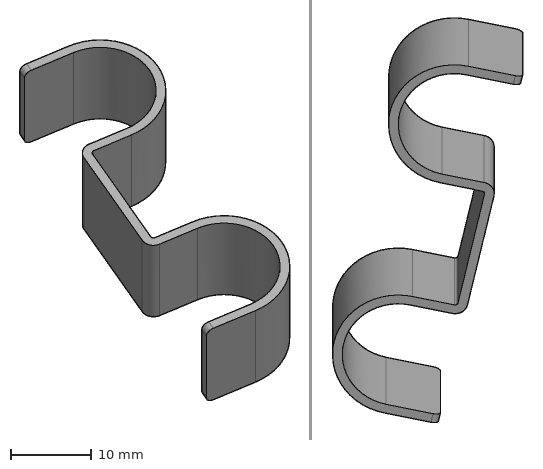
import cadquery as cq

length = 48.8
depth = 15.2
height = 14.0
thickness = 1.2
loop_outer_radius = 8.2
bend_inner_radius = 0.4
tip_corner_radius = 1.0

loop_inner_radius = loop_outer_radius - thickness
loop_center_x = length / 2 - loop_outer_radius
leg_length = depth - loop_outer_radius
bend_outer_radius = bend_inner_radius + thickness
inner_leg_x = loop_center_x - loop_outer_radius


def block(x_min, x_max, y_min, y_max):
    """Full-height block spanning the given X and Y ranges."""
    return cq.Workplane("XY").box(
        x_max - x_min, y_max - y_min, height, centered=False
    ).translate((x_min, y_min, 0))


def loop():
    """Half-round clip on the +X side, open toward -Y."""
    ring = (
        cq.Workplane("XY")
        .center(loop_center_x, 0)
        .circle(loop_outer_radius)
        .circle(loop_inner_radius)
        .extrude(height)
    )
    upper_half = block(0, length, 0, loop_outer_radius)
    return ring.intersect(upper_half)


def outer_leg():
    """Free leg with its two tip corners rounded."""
    leg = block(length / 2 - thickness, length / 2, -leg_length, 0)
    return leg.faces("<Y").edges("|X").fillet(tip_corner_radius)


def inner_leg_and_web():
    """Inner leg joined by a rounded bend to half of the flat web."""
    x_leg_outside = inner_leg_x + thickness
    y_web_inside = thickness - leg_length
    return (
        cq.Workplane("XY")
        .moveTo(0, -leg_length)
        .lineTo(x_leg_outside - bend_outer_radius, -leg_length)
        .radiusArc((x_leg_outside, bend_outer_radius - leg_length), -bend_outer_radius)
        .lineTo(x_leg_outside, 0)
        .lineTo(inner_leg_x, 0)
        .lineTo(inner_leg_x, y_web_inside + bend_inner_radius)
        .radiusArc((inner_leg_x - bend_inner_radius, y_web_inside), bend_inner_radius)
        .lineTo(0, y_web_inside)
        .close()
        .extrude(height)
    )


half = loop().union(outer_leg()).union(inner_leg_and_web())
result = half.union(half.mirror("YZ"))